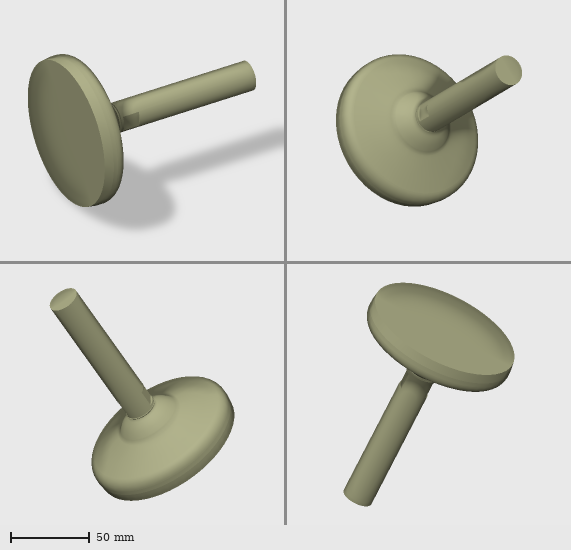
import cadquery as cq
import math

total_length = 135.0

rim_diameter = 100.0
rim_radius = rim_diameter / 2
base_radius = 49.1
taper_height = 6.2
rim_straight_top = 9.3
rim_fillet = 7.2
cone_angle = math.radians(19.5)
dome_radius = 25.0
dome_center_y = 11.0
dome_top_y = 33.9
dome_blend_radius = 5.0

spindle_radius = 10.0
collar_tip_radius = 9.3
collar_edge_y = 34.7
groove_top_y = 35.5
groove_radius = 8.6
flats_width = 17.0
flats_bottom_y = 37.1
flats_top_y = 48.7


def revolve_about_y(profile):
    return profile.close().revolve(360, (0, 0, 0), (0, 1, 0))


def polar_point(center, radius, angle):
    return (center[0] + radius * math.cos(angle), center[1] + radius * math.sin(angle))


def make_foot():
    cone_normal = math.pi / 2 - cone_angle

    rim_center = (rim_radius - rim_fillet, rim_straight_top)
    rim_middle = polar_point(rim_center, rim_fillet, cone_normal / 2)
    rim_end = polar_point(rim_center, rim_fillet, cone_normal)

    dome_center = (0, dome_center_y)
    cone_distance = (
        rim_end[0] * math.cos(cone_normal) + (rim_end[1] - dome_center_y) * math.sin(cone_normal)
    )
    center_distance = dome_radius + dome_blend_radius
    dome_angle = cone_normal - math.acos((cone_distance + dome_blend_radius) / center_distance)
    blend_center = polar_point(dome_center, center_distance, dome_angle)
    blend_start = polar_point(blend_center, -dome_blend_radius, cone_normal)
    blend_middle = polar_point(blend_center, -dome_blend_radius, (cone_normal + dome_angle) / 2)
    blend_end = polar_point(dome_center, dome_radius, dome_angle)

    seat_angle = math.asin((dome_top_y - dome_center_y) / dome_radius)
    dome_middle = polar_point(dome_center, dome_radius, (dome_angle + seat_angle) / 2)
    dome_end = polar_point(dome_center, dome_radius, seat_angle)

    return revolve_about_y(
        cq.Workplane("XY")
        .lineTo(base_radius, 0)
        .lineTo(rim_radius, taper_height)
        .lineTo(rim_radius, rim_straight_top)
        .threePointArc(rim_middle, rim_end)
        .lineTo(*blend_start)
        .threePointArc(blend_middle, blend_end)
        .threePointArc(dome_middle, dome_end)
        .lineTo(0, dome_top_y)
    )


def make_spindle():
    shaft = revolve_about_y(
        cq.Workplane("XY")
        .moveTo(0, dome_top_y)
        .lineTo(collar_tip_radius, dome_top_y)
        .lineTo(spindle_radius, collar_edge_y)
        .lineTo(groove_radius, collar_edge_y)
        .lineTo(groove_radius, groove_top_y)
        .lineTo(spindle_radius, groove_top_y)
        .lineTo(spindle_radius, total_length)
        .lineTo(0, total_length)
    )
    flats_length = flats_top_y - flats_bottom_y
    cutter_depth = spindle_radius
    for side in (-1, 1):
        cutter = cq.Workplane("XY").box(cutter_depth, flats_length, 2 * spindle_radius)
        cutter_x = side * (flats_width + cutter_depth) / 2
        shaft = shaft.cut(cutter.translate((cutter_x, (flats_bottom_y + flats_top_y) / 2, 0)))
    return shaft


foot = make_foot()
spindle = make_spindle()

result = cq.Compound.makeCompound([foot.val(), spindle.val()])